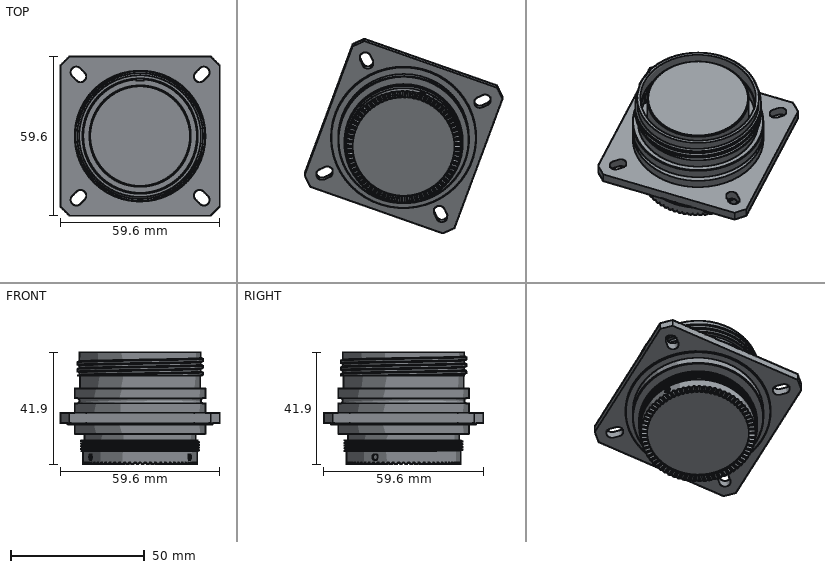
import cadquery as cq
import math

TOTAL_HEIGHT = 41.91
REAR_THREAD_BOTTOM = 4.85
REAR_THREAD_TOP = 8.9
BODY_BOTTOM = 11.2
FLANGE_BOTTOM = 15.3
FLANGE_TOP = 19.15
GROOVE_BOTTOM = 22.7
GROOVE_TOP = 24.7
BODY_TOP = 28.45
FRONT_THREAD_BOTTOM = 33.05

FLANGE_SIDE = 59.56
FLANGE_CORNER_CUT = 3.4
SLOT_CENTER = 23.04
SLOT_WIDTH = 4.2
SLOT_LENGTH = 6.4
GASKET_STEP_RADIUS = 27.2
GASKET_STEP_HEIGHT = 0.55
GASKET_STEP_CHAMFER = 0.25

BODY_RADIUS = 24.5
BODY_EDGE_CHAMFER = 0.25
GROOVE_ROOT_RADIUS = 22.75

BARREL_RADIUS = 22.55
FRONT_RADIUS = 22.75
SOCKET_MOUTH_RADIUS = 21.6
SOCKET_MOUTH_DEPTH = 0.9
SOCKET_RADIUS = 21.45
SOCKET_STEP_DEPTH = 5.5
SOCKET_LOWER_RADIUS = 21.2
SOCKET_DEPTH = 10.0
INSERT_RADIUS = 19.0
INSERT_SETBACK = 0.4
INSERT_CHAMFER = 0.4
KEY_WIDTH = 2.8
KEY_INNER_RADIUS = 20.65

FRONT_PITCH = 2.54
FRONT_CREST_RADIUS = 23.54
FRONT_CREST_WIDTH = 0.8
FRONT_BASE_WIDTH = 1.7
FRONT_HELIX_START = 31.28
FRONT_TURNS = 3.25

NECK_RADIUS = 20.87
SLEEVE_RADIUS = 21.42
REAR_PITCH = 1.0
REAR_CREST_RADIUS = 22.15
REAR_CREST_WIDTH = 0.1
REAR_BASE_WIDTH = 0.75
REAR_HELIX_START = 4.2
REAR_TURNS = 5.3
HOLE_DIAMETER = 2.3
HOLE_HEIGHT = 2.65
HOLE_DEPTH = 0.7
HOLE_COUNT = 3
FIRST_HOLE_ANGLE = 90
TOOTH_COUNT = 68
TOOTH_DEPTH = 0.75
TOOTH_GAP_WIDTH = 1.4
FIRST_GAP_ANGLE = 90
RECESS_RADIUS = 19.0
RECESS_DEPTH = 1.0

OVERLAP = 0.1


def disc(radius, bottom, top):
    """Solid cylinder on the Z axis between two heights."""
    return cq.Workplane("XY").workplane(offset=bottom).circle(radius).extrude(top - bottom)


def make_flange():
    """Square plate with cut corners, a round step below and four diagonal slots."""
    plate = (
        cq.Workplane("XY").workplane(offset=FLANGE_BOTTOM)
        .rect(FLANGE_SIDE, FLANGE_SIDE).extrude(FLANGE_TOP - FLANGE_BOTTOM)
        .edges("|Z").chamfer(FLANGE_CORNER_CUT)
    )
    step = (
        disc(GASKET_STEP_RADIUS, FLANGE_BOTTOM - GASKET_STEP_HEIGHT, FLANGE_BOTTOM)
        .faces("<Z").edges().chamfer(GASKET_STEP_CHAMFER)
    )
    flange = plate.union(step)
    slot_distance = SLOT_CENTER * math.sqrt(2)
    slot = (
        cq.Workplane("XY").workplane(offset=FLANGE_BOTTOM).center(slot_distance, 0)
        .slot2D(SLOT_LENGTH, SLOT_WIDTH).extrude(FLANGE_TOP - FLANGE_BOTTOM)
    )
    for corner in range(4):
        flange = flange.cut(slot.rotate((0, 0, 0), (0, 0, 1), 45 + 90 * corner))
    return flange


def make_body():
    """Main cylinder of the shell, with the round-bottomed groove."""
    body = disc(BODY_RADIUS, BODY_BOTTOM, BODY_TOP).faces("<Z or >Z").edges().chamfer(BODY_EDGE_CHAMFER)
    groove_round = (GROOVE_TOP - GROOVE_BOTTOM) / 2
    round_center = GROOVE_ROOT_RADIUS + groove_round
    groove = (
        cq.Workplane("XZ")
        .moveTo(BODY_RADIUS + OVERLAP, GROOVE_BOTTOM)
        .lineTo(round_center, GROOVE_BOTTOM)
        .threePointArc((GROOVE_ROOT_RADIUS, GROOVE_BOTTOM + groove_round), (round_center, GROOVE_TOP))
        .lineTo(BODY_RADIUS + OVERLAP, GROOVE_TOP)
        .close().revolve(360, (0, 0, 0), (0, 1, 0))
    )
    return body.cut(groove)


def make_socket():
    """Ring-shaped space between the front barrel and the insert, with the key left standing."""
    floor = TOTAL_HEIGHT - SOCKET_DEPTH
    step = TOTAL_HEIGHT - SOCKET_STEP_DEPTH
    insert_top = TOTAL_HEIGHT - INSERT_SETBACK
    profile = [
        (0, insert_top),
        (INSERT_RADIUS - INSERT_CHAMFER, insert_top),
        (INSERT_RADIUS, insert_top - INSERT_CHAMFER),
        (INSERT_RADIUS, floor),
        (SOCKET_LOWER_RADIUS, floor),
        (SOCKET_LOWER_RADIUS, step),
        (SOCKET_RADIUS, step),
        (SOCKET_RADIUS, TOTAL_HEIGHT - SOCKET_MOUTH_DEPTH),
        (SOCKET_MOUTH_RADIUS, TOTAL_HEIGHT),
        (0, TOTAL_HEIGHT),
    ]
    socket = cq.Workplane("XZ").polyline(profile).close().revolve(360, (0, 0, 0), (0, 1, 0))
    key_length = BARREL_RADIUS - KEY_INNER_RADIUS
    key = (
        cq.Workplane("XY").workplane(offset=floor)
        .center(0, KEY_INNER_RADIUS + key_length / 2)
        .rect(KEY_WIDTH, key_length).extrude(step - floor)
    )
    return socket.cut(key)


def make_thread(root_radius, crest_radius, base_width, crest_width, pitch, turns, start):
    """Right-handed ridge wound about Z, starting on +X."""
    flank_slope = (base_width - crest_width) / (crest_radius - root_radius)
    inner_radius = root_radius - OVERLAP
    inner_width = base_width + flank_slope * OVERLAP
    profile = [
        (inner_radius, start - inner_width / 2),
        (crest_radius, start - crest_width / 2),
        (crest_radius, start + crest_width / 2),
        (inner_radius, start + inner_width / 2),
    ]
    path = cq.Wire.makeHelix(pitch, pitch * turns, root_radius, center=cq.Vector(0, 0, start))
    return cq.Workplane("XZ").polyline(profile).close().sweep(cq.Workplane(path), isFrenet=True)


def make_threaded_band(root_radius, thread, pitch, bottom, top):
    """Solid threaded cylinder, cut off flush at both ends."""
    long_band = disc(root_radius, bottom - 2 * pitch, top + 2 * pitch).union(thread)
    return long_band.intersect(disc(BODY_RADIUS, bottom, top))


def make_front_barrel():
    """Solid front barrel: a plain length next to the body, then the coarse thread."""
    thread = make_thread(FRONT_RADIUS, FRONT_CREST_RADIUS, FRONT_BASE_WIDTH, FRONT_CREST_WIDTH,
                         FRONT_PITCH, FRONT_TURNS, FRONT_HELIX_START)
    band = make_threaded_band(FRONT_RADIUS, thread, FRONT_PITCH, FRONT_THREAD_BOTTOM, TOTAL_HEIGHT)
    return disc(BARREL_RADIUS, BODY_TOP, FRONT_THREAD_BOTTOM).union(band)


def make_rear_sleeve():
    """Solid rear end: plain sleeve, fine thread and the neck next to the body."""
    thread = make_thread(SLEEVE_RADIUS, REAR_CREST_RADIUS, REAR_BASE_WIDTH, REAR_CREST_WIDTH,
                         REAR_PITCH, REAR_TURNS, REAR_HELIX_START)
    band = make_threaded_band(SLEEVE_RADIUS, thread, REAR_PITCH, REAR_THREAD_BOTTOM, REAR_THREAD_TOP)
    sleeve = disc(SLEEVE_RADIUS, 0, REAR_THREAD_BOTTOM)
    neck = disc(NECK_RADIUS, REAR_THREAD_TOP, BODY_BOTTOM)
    return sleeve.union(band).union(neck)


def cut_radial_holes(part):
    """Shallow blind holes spaced evenly around the rear sleeve."""
    hole = (
        cq.Workplane("YZ").workplane(offset=SLEEVE_RADIUS - HOLE_DEPTH)
        .center(0, HOLE_HEIGHT).circle(HOLE_DIAMETER / 2).extrude(HOLE_DEPTH + OVERLAP)
    )
    for index in range(HOLE_COUNT):
        angle = FIRST_HOLE_ANGLE + 360 / HOLE_COUNT * index
        part = part.cut(hole.rotate((0, 0, 0), (0, 0, 1), angle))
    return part


def cut_end_teeth(part):
    """Recess in the rear end and V gaps that leave teeth on the rim around it."""
    part = part.cut(disc(RECESS_RADIUS, 0, RECESS_DEPTH))
    inner_end = RECESS_RADIUS - 2 * OVERLAP
    gap = (
        cq.Workplane("YZ").workplane(offset=inner_end)
        .polyline([(-TOOTH_GAP_WIDTH / 2, 0), (0, TOOTH_DEPTH), (TOOTH_GAP_WIDTH / 2, 0)])
        .close().extrude(SLEEVE_RADIUS + OVERLAP - inner_end)
    )
    gaps = [
        gap.val().rotate((0, 0, 0), (0, 0, 1), FIRST_GAP_ANGLE + 360 / TOOTH_COUNT * index)
        for index in range(TOOTH_COUNT)
    ]
    return part.cut(cq.Workplane(cq.Compound.makeCompound(gaps)))


rear_sleeve = cut_end_teeth(cut_radial_holes(make_rear_sleeve()))
front_barrel = make_front_barrel()
shell = make_body().union(make_flange()).union(front_barrel).union(rear_sleeve)
result = shell.cut(make_socket())